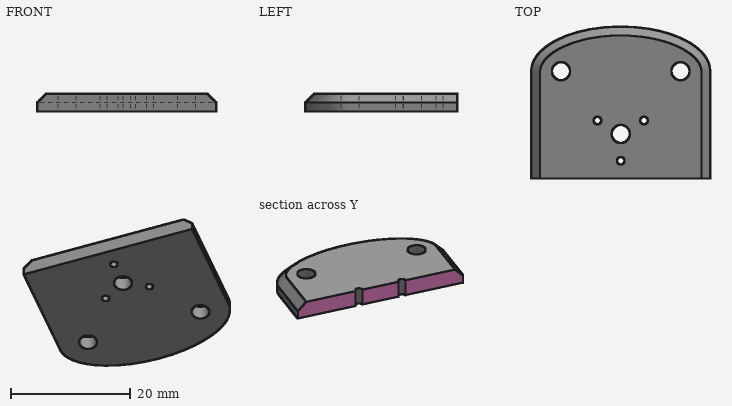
import cadquery as cq
import math

width = 30.0
thickness = 3.0
side_length = 18.0
crown_height = 7.5
bevel = 1.5

mount_diameter = 3.0
mount_spacing = 20.0
center_diameter = 3.0
center_y = 7.5
pin_diameter = 1.23
pin_circle_radius = 4.5
pin_angles = (30, 150, 270)

half_width = width / 2


def make_plate():
    """Plate with its front edge on Y = 0 and its base on Z = 0."""
    return (
        cq.Workplane("XY")
        .moveTo(-half_width, side_length)
        .lineTo(-half_width, 0)
        .lineTo(half_width, 0)
        .lineTo(half_width, side_length)
        .ellipseArc(half_width, crown_height, 0, 180, startAtCurrent=True)
        .close()
        .extrude(thickness)
    )


def bevel_rim(plate):
    """Bevel the top edges along the sides and the crown, leaving the front edge sharp."""
    sharp_edge = cq.selectors.NearestToPointSelector((0, 0, thickness))
    rim_edges = cq.selectors.InverseSelector(sharp_edge)
    return plate.faces(">Z").edges(rim_edges).chamfer(bevel)


def hole_cutters(points, diameter):
    return cq.Workplane("XY").pushPoints(points).circle(diameter / 2).extrude(thickness)


mount_points = [(side * mount_spacing / 2, side_length) for side in (-1, 1)]
pin_points = [
    (
        pin_circle_radius * math.cos(math.radians(angle)),
        center_y + pin_circle_radius * math.sin(math.radians(angle)),
    )
    for angle in pin_angles
]

result = bevel_rim(make_plate())
result = result.cut(hole_cutters(mount_points, mount_diameter))
result = result.cut(hole_cutters([(0, center_y)], center_diameter))
result = result.cut(hole_cutters(pin_points, pin_diameter))